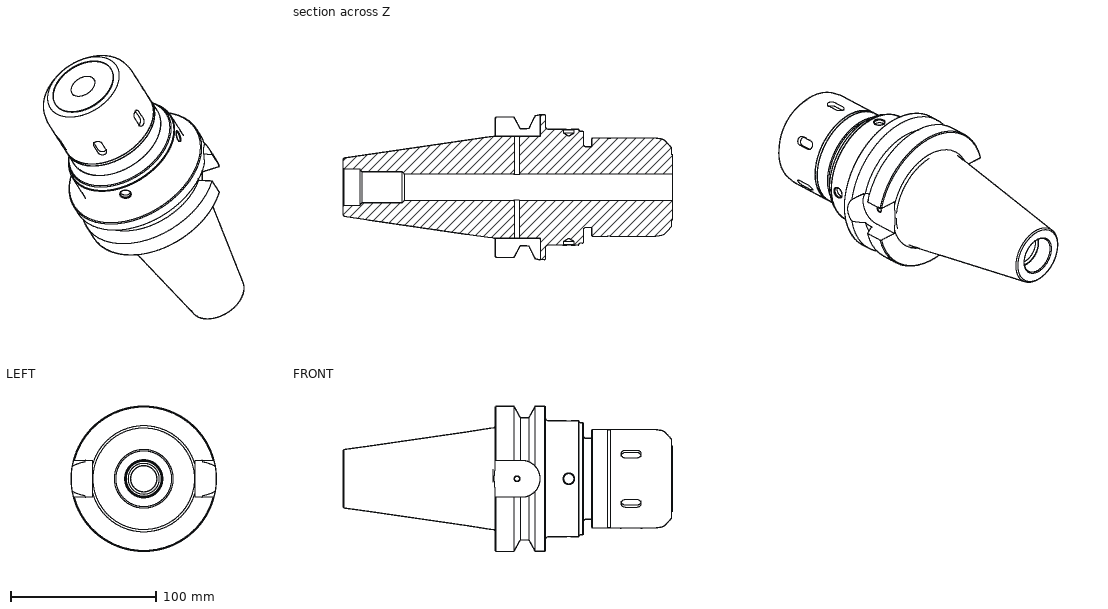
import cadquery as cq
import math

LENGTH = 226.8

TAPER_LENGTH = 101.8
TAPER_END_RADIUS = 35.0
TAPER_SLOPE = 7 / 24 / 2
TAPER_TIP_RADIUS = TAPER_END_RADIUS - TAPER_LENGTH * TAPER_SLOPE
TIP_CHAMFER = 1.0
NECK_FILLET = 1.5

FLANGE_START = 104.8
FLANGE_END = 139.5
FLANGE_RADIUS = 100.0 / 2
FLANGE_CHAMFER = 0.7
GROOVE_START = 117.7
GROOVE_END = 132.2
GROOVE_FLOOR_RADIUS = 42.2
GROOVE_WALL_RUN = 4.3

COLLAR_RADIUS = 80.0 / 2
COLLAR_FILLET = 1.5
COLLAR_END = 165.5
COLLAR_STEP_START = 162.0
COLLAR_STEP = 1.4
COLLAR_STEP_FILLET = 1.0
COLLAR_END_CHAMFER = 0.7
COLLAR_NECK_RADIUS = 56.0 / 2
COLLAR_NECK_FILLET = 1.1

NUT_START = 171.0
NUT_RADIUS = 68.0 / 2
NUT_EDGE = 0.7
NUT_GROOVE_START = 182.0
NUT_GROOVE_END = 184.0
NUT_GROOVE_DEPTH = 0.2
NUT_CROWN_START = 214.5
NUT_CROWN_ARC_START = (218.9, 33.3)
NUT_CROWN_ARC_END = (221.5, 32.0)
NUT_BEVEL_END = (224.8, 28.5)
NUT_FACE_X = 226.1
NUT_FACE_RADIUS = 27.0
NOSE_RADIUS = 22.7

BORE_MOUTH_RADIUS = 26.3 / 2
COUNTERBORE_RADIUS = 25.0 / 2
COUNTERBORE_DEPTH = 11.8
THREAD_MOUTH_RADIUS = 24.0 / 2
THREAD_RADIUS = 21.3 / 2
THREAD_DEPTH = 40.8
BORE_RADIUS = 18.0 / 2

SLOT_WIDTH = 25.5
SLOT_CENTER_X = 123.0
SLOT_FLOOR = 35.2
COOLANT_X = 119.8
COOLANT_DIAMETER = 3.5
COOLANT_MOUTH_DIAMETER = 4.0

SCREW_X = 155.4
SCREW_DIAMETER = 7.0
SCREW_MOUTH_DIAMETER = 8.0
SCREW_DEPTH = 2.7
SCREW_COUNT = 4
SCREW_POINT_HALF_ANGLE = 59

WRENCH_X = 198.2
WRENCH_LENGTH = 13.8
WRENCH_WIDTH = 6.1
WRENCH_DEPTH = 3.2
WRENCH_COUNT = 6


def revolve_about_x(profile):
    return profile.close().revolve(360, (0, 0, 0), (1, 0, 0))


def make_body():
    collar_step_radius = COLLAR_RADIUS - COLLAR_STEP
    fillet_start = COLLAR_STEP_START + COLLAR_STEP - COLLAR_STEP_FILLET
    nut_groove_radius = NUT_RADIUS - NUT_GROOVE_DEPTH
    profile = (
        cq.Workplane("XY")
        .moveTo(0, 0)
        .lineTo(0, TAPER_TIP_RADIUS - TIP_CHAMFER)
        .lineTo(TIP_CHAMFER, TAPER_TIP_RADIUS + TIP_CHAMFER * TAPER_SLOPE)
        .lineTo(TAPER_LENGTH, TAPER_END_RADIUS)
        .lineTo(FLANGE_START - NECK_FILLET, TAPER_END_RADIUS)
        .radiusArc((FLANGE_START, TAPER_END_RADIUS + NECK_FILLET), -NECK_FILLET)
        .lineTo(FLANGE_START, FLANGE_RADIUS - FLANGE_CHAMFER)
        .lineTo(FLANGE_START + FLANGE_CHAMFER, FLANGE_RADIUS)
        .lineTo(GROOVE_START, FLANGE_RADIUS)
        .lineTo(GROOVE_START + GROOVE_WALL_RUN, GROOVE_FLOOR_RADIUS)
        .lineTo(GROOVE_END - GROOVE_WALL_RUN, GROOVE_FLOOR_RADIUS)
        .lineTo(GROOVE_END, FLANGE_RADIUS)
        .lineTo(FLANGE_END - FLANGE_CHAMFER, FLANGE_RADIUS)
        .lineTo(FLANGE_END, FLANGE_RADIUS - FLANGE_CHAMFER)
        .lineTo(FLANGE_END, COLLAR_RADIUS + COLLAR_FILLET)
        .radiusArc((FLANGE_END + COLLAR_FILLET, COLLAR_RADIUS), -COLLAR_FILLET)
        .lineTo(COLLAR_STEP_START, COLLAR_RADIUS)
        .lineTo(fillet_start, collar_step_radius + COLLAR_STEP_FILLET)
        .radiusArc((fillet_start + COLLAR_STEP_FILLET, collar_step_radius), -COLLAR_STEP_FILLET)
        .lineTo(COLLAR_END - COLLAR_END_CHAMFER, collar_step_radius)
        .lineTo(COLLAR_END, collar_step_radius - COLLAR_END_CHAMFER)
        .lineTo(COLLAR_END, COLLAR_NECK_RADIUS + COLLAR_NECK_FILLET)
        .radiusArc((COLLAR_END + COLLAR_NECK_FILLET, COLLAR_NECK_RADIUS), -COLLAR_NECK_FILLET)
        .lineTo(NUT_START, COLLAR_NECK_RADIUS)
        .lineTo(NUT_START, NUT_RADIUS - NUT_EDGE)
        .lineTo(NUT_START + NUT_EDGE, NUT_RADIUS)
        .lineTo(NUT_GROOVE_START, NUT_RADIUS)
        .lineTo(NUT_GROOVE_START, nut_groove_radius)
        .lineTo(NUT_GROOVE_END, nut_groove_radius)
        .lineTo(NUT_GROOVE_END, NUT_RADIUS)
        .lineTo(NUT_CROWN_START, NUT_RADIUS)
        .lineTo(*NUT_CROWN_ARC_START)
        .tangentArcPoint(NUT_CROWN_ARC_END, relative=False)
        .lineTo(*NUT_BEVEL_END)
        .lineTo(NUT_FACE_X, NUT_FACE_RADIUS)
        .lineTo(NUT_FACE_X, NOSE_RADIUS)
        .lineTo(LENGTH, NOSE_RADIUS)
        .lineTo(LENGTH, 0)
    )
    return revolve_about_x(profile)


def make_bore():
    mouth_chamfer = BORE_MOUTH_RADIUS - COUNTERBORE_RADIUS
    thread_start = COUNTERBORE_DEPTH + THREAD_MOUTH_RADIUS - THREAD_RADIUS
    bore_start = THREAD_DEPTH + THREAD_RADIUS - BORE_RADIUS
    profile = (
        cq.Workplane("XY")
        .moveTo(0, 0)
        .lineTo(0, BORE_MOUTH_RADIUS)
        .lineTo(mouth_chamfer, COUNTERBORE_RADIUS)
        .lineTo(COUNTERBORE_DEPTH, COUNTERBORE_RADIUS)
        .lineTo(COUNTERBORE_DEPTH, THREAD_MOUTH_RADIUS)
        .lineTo(thread_start, THREAD_RADIUS)
        .lineTo(THREAD_DEPTH, THREAD_RADIUS)
        .lineTo(bore_start, BORE_RADIUS)
        .lineTo(LENGTH, BORE_RADIUS)
        .lineTo(LENGTH, 0)
    )
    return revolve_about_x(profile)


def make_drive_slots():
    """Round-ended slots open toward the taper, one on each side of the flange."""
    slot_depth = FLANGE_RADIUS - SLOT_FLOOR
    straight_length = SLOT_CENTER_X - FLANGE_START
    slot = (
        cq.Workplane("XZ", origin=(SLOT_CENTER_X, -SLOT_FLOOR, 0))
        .center(-straight_length, 0)
        .rect(2 * straight_length, SLOT_WIDTH)
        .extrude(slot_depth)
        .union(
            cq.Workplane("XZ", origin=(SLOT_CENTER_X, -SLOT_FLOOR, 0))
            .circle(SLOT_WIDTH / 2)
            .extrude(slot_depth)
        )
    )
    return slot.union(slot.mirror("XZ"))


def make_coolant_hole():
    """Hole along Y through both slot floors, chamfered where it meets each floor."""
    radius = COOLANT_DIAMETER / 2
    mouth_radius = COOLANT_MOUTH_DIAMETER / 2
    chamfer = mouth_radius - radius
    return (
        cq.Workplane("XY", origin=(COOLANT_X, 0, 0))
        .moveTo(0, -SLOT_FLOOR)
        .lineTo(mouth_radius, -SLOT_FLOOR)
        .lineTo(radius, -SLOT_FLOOR + chamfer)
        .lineTo(radius, SLOT_FLOOR - chamfer)
        .lineTo(mouth_radius, SLOT_FLOOR)
        .lineTo(0, SLOT_FLOOR)
        .close()
        .revolve(360, (0, 0, 0), (0, 1, 0))
    )


def make_screw_hole():
    """Chamfered hole with a conical bottom, entering the top of the collar."""
    radius = SCREW_DIAMETER / 2
    mouth_radius = SCREW_MOUTH_DIAMETER / 2
    chamfer = mouth_radius - radius
    rim_z = math.sqrt(COLLAR_RADIUS**2 - mouth_radius**2)
    floor_z = COLLAR_RADIUS - SCREW_DEPTH
    point_depth = radius / math.tan(math.radians(SCREW_POINT_HALF_ANGLE))
    return (
        cq.Workplane("XZ", origin=(SCREW_X, 0, 0))
        .moveTo(0, COLLAR_RADIUS)
        .lineTo(mouth_radius, COLLAR_RADIUS)
        .lineTo(mouth_radius, rim_z)
        .lineTo(radius, rim_z - chamfer)
        .lineTo(radius, floor_z)
        .lineTo(0, floor_z - point_depth)
        .close()
        .revolve(360, (0, 0, 0), (0, 1, 0))
    )


def make_wrench_slot():
    """Flat-bottomed slot along X, entering the top of the nut."""
    return (
        cq.Workplane("XY", origin=(WRENCH_X, 0, NUT_RADIUS - WRENCH_DEPTH))
        .slot2D(WRENCH_LENGTH, WRENCH_WIDTH)
        .extrude(WRENCH_DEPTH)
    )


def cut_around_axis(body, cutter, count):
    for index in range(count):
        body = body.cut(cutter.rotate((0, 0, 0), (1, 0, 0), index * 360 / count))
    return body


result = make_body().cut(make_bore()).cut(make_drive_slots()).cut(make_coolant_hole())
result = cut_around_axis(result, make_screw_hole(), SCREW_COUNT)
result = cut_around_axis(result, make_wrench_slot(), WRENCH_COUNT)